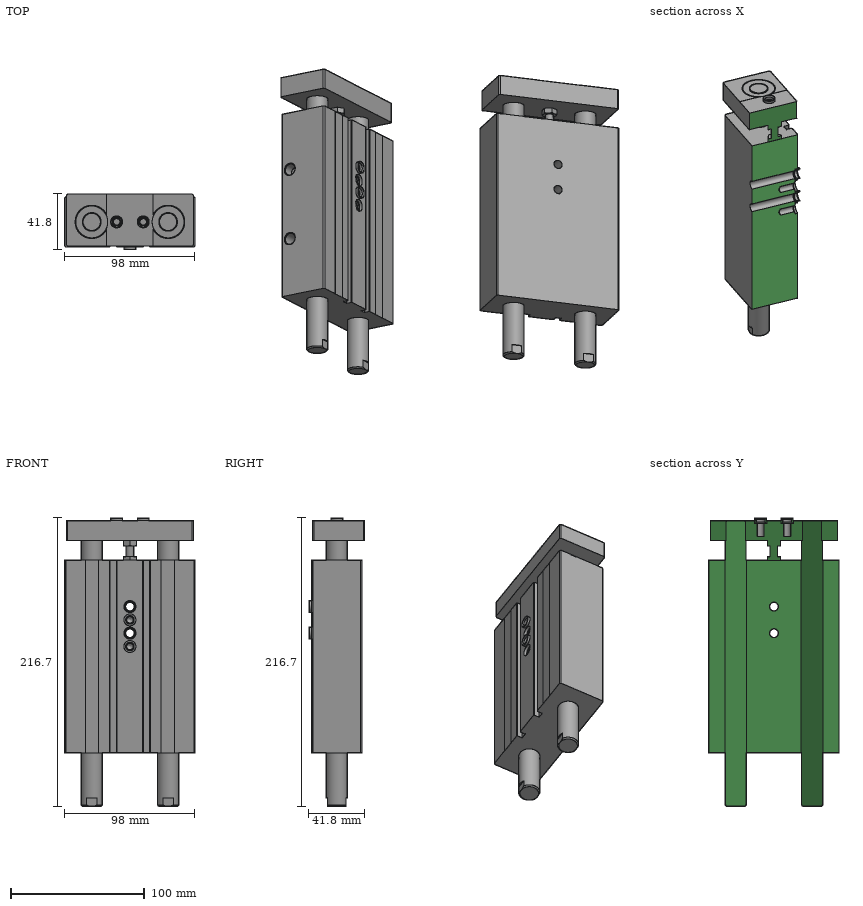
import cadquery as cq
import math


housing_width = 98.0
housing_depth = 38.0
housing_height = 145.0
housing_chamfer = 1.0
housing_front = -housing_depth / 2

slot_offset = 12.5
slot_width = 4.6
slot_depth = 4.6
slot_mouth_chamfer = 0.65
strip_offset = 28.4
strip_width = 9.9
strip_depth = 0.1

rod_spacing = 57.4
rod_diameter = 16.0
rod_extension = 40.2
rod_end_chamfer = 1.0
rod_flat_width = 14.0
rod_flat_height = 6.5
spigot_diameter = 14.0
spigot_chamfer = 0.5
rod_positions = [(-rod_spacing / 2, 0), (rod_spacing / 2, 0)]

plate_gap = 14.5
plate_thickness = 15.2
plate_width = 95.6
plate_depth = 39.3
plate_back = housing_depth / 2 + 2.0
plate_chamfer = 1.0
plate_bottom = housing_height + plate_gap
plate_top = plate_bottom + plate_thickness
band_width = 35.0
band_depth = 0.1
disc_diameter = 25.0
disc_top_diameter = 24.0
disc_groove_depth = 0.1

piston_rod_diameter = 6.0
hex_across_flats = 10.0
hex_across_corners = hex_across_flats / math.cos(math.radians(30))
nut_height = 4.0
nut_chamfer = 0.6
collar_height = 2.6

sleeve_diameter = 9.0
sleeve_bore = 6.4
sleeve_length = 4.0
sleeve_protrusion = 1.8
sleeve_mouth_chamfer = 0.9
seat_depth = sleeve_length - sleeve_protrusion

thread_core = 4.92
thread_chamfer_diameter = sleeve_bore
thread_depth = 12.0
front_hole_pitch = 10.0
top_front_hole = 110.0
sleeved_front_heights = [top_front_hole, top_front_hole - 2 * front_hole_pitch]
threaded_front_heights = [z - front_hole_pitch for z in sleeved_front_heights]
plate_hole_spacing = 20.0
plate_hole_depth = 12.0
plate_hole_positions = [(-plate_hole_spacing / 2, 0), (plate_hole_spacing / 2, 0)]

port_diameter = 8.57
port_mouth_diameter = 9.7
port_y = 11.6
upper_port_height = 100.0
upper_port_depth = 9.0
lower_port_height = 45.0
lower_port_depth = 20.0
guide_wall_diameter = 28.0

drill_point_half_angle = math.radians(59)


def drilled_hole(diameter, mouth_diameter, depth):
    """Drill shape along +Z from the origin, with a 45 degree mouth and a conical tip."""
    radius = diameter / 2
    mouth_radius = mouth_diameter / 2
    tip = radius / math.tan(drill_point_half_angle)
    return (
        cq.Workplane("XZ")
        .moveTo(0, 0)
        .lineTo(mouth_radius, 0)
        .lineTo(radius, mouth_radius - radius)
        .lineTo(radius, depth)
        .lineTo(0, depth + tip)
        .close()
        .revolve(360, (0, 0, 0), (0, 1, 0))
    )


def pointing_back(shape, x, y, z):
    """Turn a shape built along +Z so that it runs along +Y, and move its origin."""
    return shape.rotate((0, 0, 0), (1, 0, 0), -90).translate((x, y, z))


def pointing_right(shape, x, y, z):
    """Turn a shape built along +Z so that it runs along +X, and move its origin."""
    return shape.rotate((0, 0, 0), (0, 1, 0), 90).translate((x, y, z))


def sensor_slot(x):
    half = slot_width / 2
    mouth_half = half + slot_mouth_chamfer
    return (
        cq.Workplane("XY")
        .moveTo(x - mouth_half, housing_front)
        .lineTo(x - half, housing_front + slot_mouth_chamfer)
        .lineTo(x - half, housing_front + slot_depth)
        .lineTo(x + half, housing_front + slot_depth)
        .lineTo(x + half, housing_front + slot_mouth_chamfer)
        .lineTo(x + mouth_half, housing_front)
        .close()
        .extrude(housing_height)
    )


def shallow_strip(x):
    return cq.Workplane("XY").box(
        strip_width, 2 * strip_depth, housing_height, centered=(True, True, False)
    ).translate((x, housing_front, 0))


def front_seat(z):
    seat = cq.Workplane("XY").circle(sleeve_diameter / 2).extrude(seat_depth)
    return pointing_back(seat, 0, housing_front, z)


def make_housing():
    body = (
        cq.Workplane("XY")
        .box(housing_width, housing_depth, housing_height, centered=(True, True, False))
        .edges("|Z")
        .chamfer(housing_chamfer)
    )
    for side in (-1, 1):
        body = body.cut(sensor_slot(side * slot_offset))
        body = body.cut(shallow_strip(side * strip_offset))

    rod_bores = cq.Workplane("XY").pushPoints(rod_positions).circle(rod_diameter / 2)
    body = body.cut(rod_bores.extrude(housing_height))

    through_hole = cq.Workplane("XY").circle(sleeve_bore / 2).extrude(housing_depth)
    for z in sleeved_front_heights:
        body = body.cut(front_seat(z))
        body = body.cut(pointing_back(through_hole, 0, housing_front, z))

    threaded_hole = drilled_hole(thread_core, thread_chamfer_diameter, thread_depth)
    for z in threaded_front_heights:
        body = body.cut(front_seat(z))
        body = body.cut(pointing_back(threaded_hole, 0, housing_front + seat_depth, z))

    left = -housing_width / 2
    upper_port = drilled_hole(port_diameter, port_mouth_diameter, upper_port_depth)
    body = body.cut(pointing_right(upper_port, left, port_y, upper_port_height))

    lower_port = drilled_hole(port_diameter, port_mouth_diameter, lower_port_depth)
    guide_wall = (
        cq.Workplane("XY")
        .pushPoints(rod_positions[:1])
        .circle(guide_wall_diameter / 2)
        .extrude(housing_height)
    )
    return body.cut(pointing_right(lower_port, left, port_y, lower_port_height).cut(guide_wall))


def make_piston_rod():
    """Piston rod from the housing up to the plate, with a hexagonal collar below and a nut above."""
    rod = (
        cq.Workplane("XY", origin=(0, 0, housing_height))
        .circle(piston_rod_diameter / 2)
        .extrude(plate_gap)
    )
    collar = (
        cq.Workplane("XY", origin=(0, 0, housing_height))
        .polygon(6, hex_across_corners)
        .extrude(collar_height)
    )
    nut_bottom = plate_bottom - nut_height
    nut = cq.Workplane("XY", origin=(0, 0, nut_bottom)).polygon(6, hex_across_corners).extrude(nut_height)
    nut_rounding = (
        cq.Workplane("XY", origin=(0, 0, nut_bottom))
        .circle(hex_across_corners / 2)
        .extrude(nut_height)
        .faces("<Z")
        .chamfer(nut_chamfer)
    )
    hexagons = collar.union(nut.intersect(nut_rounding)).rotate((0, 0, 0), (0, 0, 1), 30)
    return rod.union(hexagons)


def make_yoke():
    """Yoke plate with the piston rod fixed to its underside."""
    plate = (
        cq.Workplane("XY", origin=(0, plate_back - plate_depth / 2, plate_bottom))
        .box(plate_width, plate_depth, plate_thickness, centered=(True, True, False))
        .edges("|Z")
        .chamfer(plate_chamfer)
    )

    discs = (
        cq.Workplane("XY", origin=(0, 0, plate_bottom))
        .pushPoints(rod_positions)
        .circle(disc_diameter / 2)
        .extrude(plate_thickness)
    )
    band = (
        cq.Workplane("XY", origin=(0, plate_back - plate_depth / 2, plate_top))
        .box(band_width, plate_depth, 2 * band_depth)
        .cut(discs)
    )
    disc_grooves = (
        cq.Workplane("XY", origin=(0, 0, plate_top))
        .pushPoints(rod_positions)
        .circle(disc_diameter / 2)
        .circle(disc_top_diameter / 2)
        .extrude(-disc_groove_depth)
    )
    plate = plate.cut(band).cut(disc_grooves)

    for position in rod_positions:
        plate = plate.cut(spigot(position))

    top_holes = cq.Workplane("XY", origin=(0, 0, plate_top)).pushPoints(plate_hole_positions)
    plate = plate.cut(top_holes.circle(sleeve_diameter / 2).extrude(-seat_depth))
    plate = plate.cut(top_holes.circle(thread_core / 2).extrude(-plate_hole_depth))
    return plate.union(make_piston_rod())


def spigot(position):
    """Reduced upper end of a guide rod, as long as the plate is thick."""
    x, y = position
    return (
        cq.Workplane("XY", origin=(x, y, plate_bottom))
        .circle(spigot_diameter / 2)
        .extrude(plate_thickness)
    )


def make_guide_rod(position):
    x, y = position
    shaft = (
        cq.Workplane("XY", origin=(x, y, -rod_extension))
        .circle(rod_diameter / 2)
        .extrude(rod_extension + plate_bottom)
        .faces("<Z")
        .chamfer(rod_end_chamfer)
    )
    for side in (-1, 1):
        waste_depth = rod_diameter / 2
        waste = cq.Workplane("XY").box(
            rod_diameter, waste_depth, rod_flat_height, centered=(True, True, False)
        )
        offset = side * (rod_flat_width + waste_depth) / 2
        shaft = shaft.cut(waste.translate((x, y + offset, -rod_extension)))
    return shaft.union(spigot(position).faces(">Z").chamfer(spigot_chamfer))


def make_sleeve():
    """Centring sleeve along +Z, starting at the origin, with both bore mouths chamfered."""
    return (
        cq.Workplane("XY")
        .circle(sleeve_diameter / 2)
        .circle(sleeve_bore / 2)
        .extrude(sleeve_length)
        .edges(cq.selectors.RadiusNthSelector(0))
        .chamfer(sleeve_mouth_chamfer)
    )


housing = make_housing()
yoke = make_yoke()
guide_rods = [make_guide_rod(position).val() for position in rod_positions]
front_sleeves = [
    pointing_back(make_sleeve(), 0, housing_front - sleeve_protrusion, z).val()
    for z in sleeved_front_heights
]
plate_sleeves = [
    make_sleeve().translate((x, y, plate_top - seat_depth)).val() for x, y in plate_hole_positions
]

result = cq.Compound.makeCompound(
    [housing.val(), yoke.val(), *guide_rods, *front_sleeves, *plate_sleeves]
)